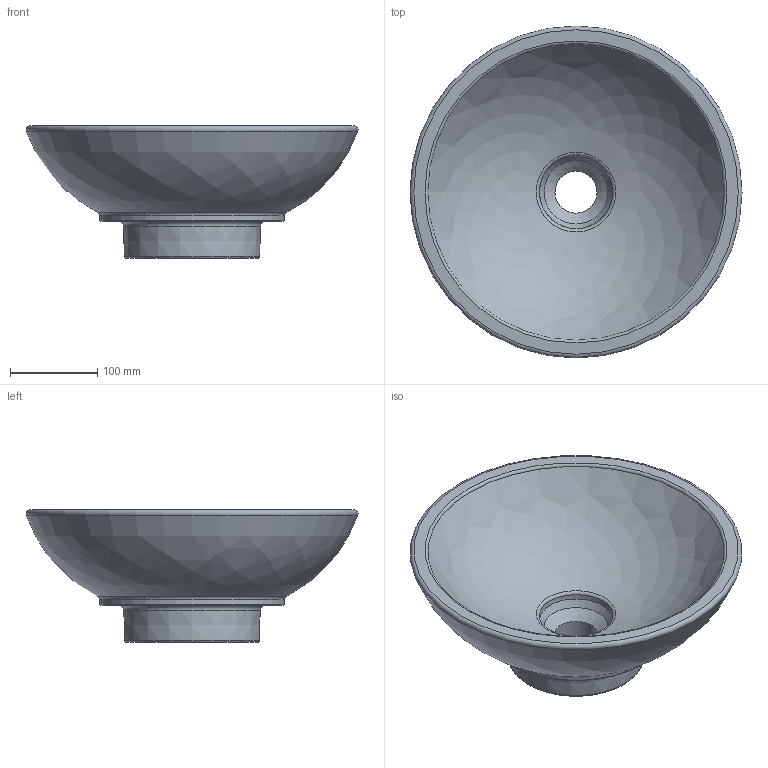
import cadquery as cq
import math

rim_radius = 190.0
height = 151.5

rim_round_radius = 4.3
rim_undercut_angle = 28.0

outer_bowl_radius = 163.0

collar_radius = 105.8
collar_bottom_z = 42.4
collar_fillet_start_z = 49.4
collar_fillet_radius = 3.3
collar_fillet_sweep = 65.0
collar_edge_round = 1.2

foot_bottom_radius = 77.3
foot_top_radius = 78.6
foot_top_z = 36.6
foot_edge_round = 2.0
foot_flare_radius = collar_bottom_z - foot_top_z

lip_radius = 172.8
lip_round_radius = 3.1
inner_bowl_radius = 198.5

drain_mouth_radius = 45.6
drain_mouth_z = 62.0
drain_mouth_round_radius = 3.3
drain_bore_bottom_radius = 41.7
drain_bore_bottom_z = 53.2
drain_seat_radius = 36.5
drain_seat_z = 44.7
drain_hole_radius = 48.15 / 2
drain_hole_top_z = 34.2


def point_on_circle(center, radius, angle):
    """Section point at the given angle (degrees, counterclockwise from +X) on a circle."""
    return (
        center[0] + radius * math.cos(math.radians(angle)),
        center[1] + radius * math.sin(math.radians(angle)),
    )


def right_bulge_midpoint(start, end, radius):
    """Middle of the minor arc from start to end that bulges to the right of its direction."""
    dx = end[0] - start[0]
    dz = end[1] - start[1]
    chord = math.hypot(dx, dz)
    rise = radius - math.sqrt(radius ** 2 - (chord / 2) ** 2)
    return (
        (start[0] + end[0]) / 2 + rise * dz / chord,
        (start[1] + end[1]) / 2 - rise * dx / chord,
    )


def add_round(profile, center, radius, start_angle, end_angle):
    """Continue the profile with a circular arc between two angles."""
    start = point_on_circle(center, radius, start_angle)
    middle = point_on_circle(center, radius, (start_angle + end_angle) / 2)
    end = point_on_circle(center, radius, end_angle)
    return profile.lineTo(*start).threePointArc(middle, end)


def revolve_about_z(profile):
    return profile.close().revolve(360, (0, 0, 0), (0, 1, 0))


def make_outer_body():
    """Solid bounded by the foot, the collar, the bowl wall and the rim."""
    foot_round_center = (foot_bottom_radius - foot_edge_round, foot_edge_round)
    flare_center = (foot_top_radius + foot_flare_radius, foot_top_z)
    collar_round_center = (collar_radius - collar_edge_round, collar_bottom_z + collar_edge_round)
    collar_fillet_center = (collar_radius + collar_fillet_radius, collar_fillet_start_z)
    rim_round_center = (rim_radius - rim_round_radius, height - rim_round_radius)

    bowl_bottom = point_on_circle(collar_fillet_center, collar_fillet_radius, 180 - collar_fillet_sweep)
    bowl_top = point_on_circle(rim_round_center, rim_round_radius, -rim_undercut_angle)

    profile = cq.Workplane("XZ").moveTo(0, 0)
    profile = add_round(profile, foot_round_center, foot_edge_round, -90, 0)
    profile = add_round(profile, flare_center, foot_flare_radius, 180, 90)
    profile = add_round(profile, collar_round_center, collar_edge_round, -90, 0)
    profile = add_round(profile, collar_fillet_center, collar_fillet_radius, 180, 180 - collar_fillet_sweep)
    bowl_middle = right_bulge_midpoint(bowl_bottom, bowl_top, outer_bowl_radius)
    profile = profile.threePointArc(bowl_middle, bowl_top)
    rim_middle = point_on_circle(rim_round_center, rim_round_radius, (90 - rim_undercut_angle) / 2)
    profile = profile.threePointArc(rim_middle, (rim_round_center[0], height))
    return revolve_about_z(profile.lineTo(0, height))


def make_inner_cavity():
    """Space inside the bowl together with the stepped drain through the foot."""
    mouth = (drain_mouth_radius, drain_mouth_z)
    mouth_round_center = (drain_mouth_radius, drain_mouth_z - drain_mouth_round_radius)
    lip_round_center = (lip_radius, height - lip_round_radius)
    wall_top = (lip_radius - lip_round_radius, height - lip_round_radius)

    profile = (
        cq.Workplane("XZ")
        .moveTo(0, 0)
        .lineTo(drain_hole_radius, 0)
        .lineTo(drain_hole_radius, drain_hole_top_z)
        .lineTo(drain_seat_radius, drain_seat_z)
        .lineTo(drain_bore_bottom_radius, drain_bore_bottom_z)
    )
    profile = add_round(profile, mouth_round_center, drain_mouth_round_radius, 180, 90)
    wall_middle = right_bulge_midpoint(mouth, wall_top, inner_bowl_radius)
    profile = profile.threePointArc(wall_middle, wall_top)
    lip_middle = point_on_circle(lip_round_center, lip_round_radius, 135)
    profile = profile.threePointArc(lip_middle, (lip_radius, height))
    return revolve_about_z(profile.lineTo(0, height))


result = make_outer_body().cut(make_inner_cavity())